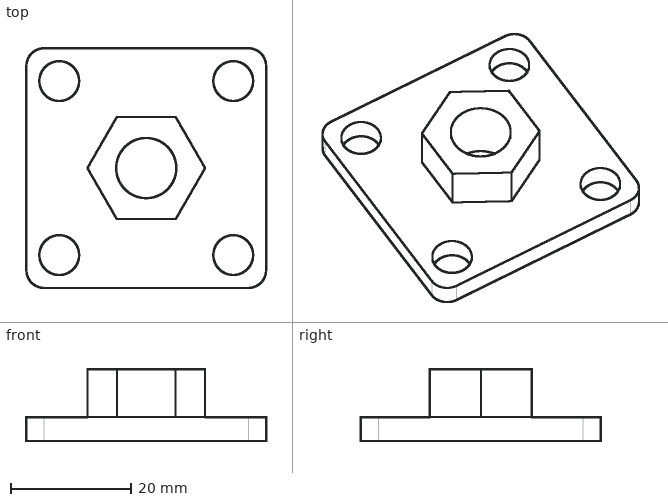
import cadquery as cq
import math

plate_side = 40
plate_thickness = 4
corner_radius = 3.0

hole_diameter = 6.6
hole_spacing = 29.0

hex_across_flats = 17.0
hex_across_corners = hex_across_flats / math.cos(math.pi / 6)
hex_height = 8
bore_diameter = 10

plate = (
    cq.Workplane("XY")
    .box(plate_side, plate_side, plate_thickness, centered=(True, True, False))
    .edges("|Z")
    .fillet(corner_radius)
)

boss = (
    cq.Workplane("XY")
    .workplane(offset=plate_thickness)
    .polygon(6, hex_across_corners)
    .extrude(hex_height)
)

body = plate.union(boss)

mounting_holes = (
    cq.Workplane("XY")
    .rect(hole_spacing, hole_spacing, forConstruction=True)
    .vertices()
    .circle(hole_diameter / 2)
    .extrude(plate_thickness)
)
bore = (
    cq.Workplane("XY")
    .circle(bore_diameter / 2)
    .extrude(plate_thickness + hex_height)
)

result = body.cut(mounting_holes).cut(bore)